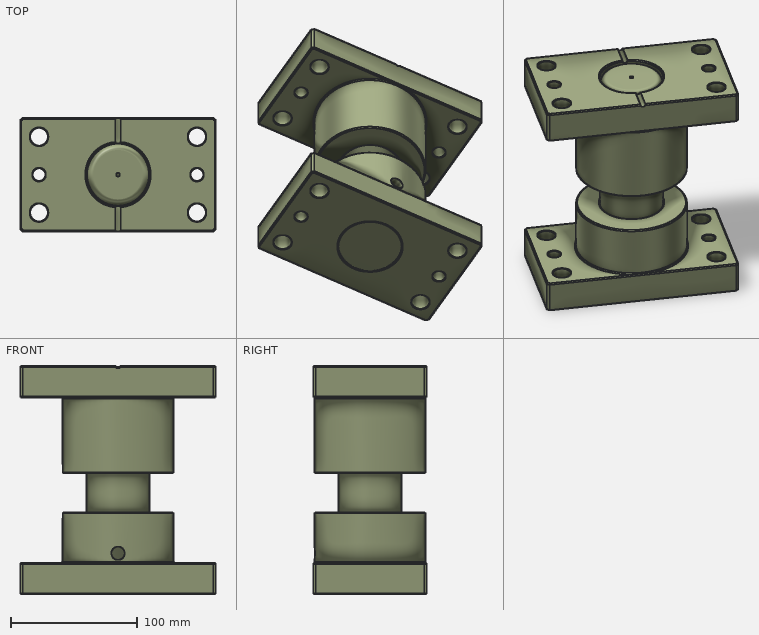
import cadquery as cq
import math

plate_length = 155.0
plate_width = 90.0
plate_thickness = 25.0
plate_corner_chamfer = 2.0
plate_edge_chamfer = 1.0
boss_diameter = 88.0
boss_edge_chamfer = 1.0
boss_root_fillet = 1.0
lower_boss_height = 40.0
upper_boss_height = 60.0

hole_offset_x = 62.5
screw_hole_offset_y = 30.0
screw_hole_diameter = 14.0
dowel_hole_diameter = 10.0
hole_rim_chamfer = 0.5

overall_height = 180.76

pin_diameter = 50.0
pin_length = 180.0
pin_end_radius = 5.0
pin_lead_diameter = 49.0
pin_lead_length = 8.0
pin_centre_diameter = 3.0
pin_centre_angle = 60.0
bore_rim_chamfer = 1.0

groove_radius = 2.0
cross_hole_diameter = 10.5
cross_hole_height = 7.5


def centred_cylinder(diameter, length):
    return cq.Workplane("XY").circle(diameter / 2).extrude(length)


def through_hole(diameter, rim_chamfer, depth):
    """Cutter from Z = 0 up to depth, flared at both ends."""
    radius = diameter / 2
    rim_radius = radius + rim_chamfer
    profile = (
        cq.Workplane("XZ")
        .lineTo(rim_radius, 0)
        .lineTo(radius, rim_chamfer)
        .lineTo(radius, depth - rim_chamfer)
        .lineTo(rim_radius, depth)
        .lineTo(0, depth)
        .close()
    )
    return profile.revolve(360, (0, 0, 0), (0, 1, 0))


def make_boss_root():
    """Concave fillet ring at the boss foot, trimmed where it would overhang the plate edge chamfers."""
    boss_radius = boss_diameter / 2
    arc_sag = boss_root_fillet * (1 - math.sqrt(0.5))
    profile = (
        cq.Workplane("XZ")
        .moveTo(boss_radius, 0)
        .lineTo(boss_radius + boss_root_fillet, 0)
        .threePointArc((boss_radius + arc_sag, arc_sag), (boss_radius, boss_root_fillet))
        .close()
    )
    ring = profile.revolve(360, (0, 0, 0), (0, 1, 0)).union(centred_cylinder(boss_diameter, boss_root_fillet))
    flat_width = plate_width - 2 * plate_edge_chamfer
    flat_face = cq.Workplane("XY").box(plate_length, flat_width, 2 * boss_root_fillet)
    return ring.intersect(flat_face).translate((0, 0, plate_thickness))


def make_block(boss_height):
    """Plate on Z = 0 with its boss pointing up and the pin bore through both."""
    plate = (
        cq.Workplane("XY")
        .box(plate_length, plate_width, plate_thickness, centered=(True, True, False))
        .edges("|Z")
        .chamfer(plate_corner_chamfer)
        .faces("<Z or >Z")
        .edges()
        .chamfer(plate_edge_chamfer)
    )
    dowel_hole = through_hole(dowel_hole_diameter, hole_rim_chamfer, plate_thickness)
    screw_hole = through_hole(screw_hole_diameter, hole_rim_chamfer, plate_thickness)
    for x in (-hole_offset_x, hole_offset_x):
        plate = plate.cut(dowel_hole.translate((x, 0, 0)))
        for y in (-screw_hole_offset_y, screw_hole_offset_y):
            plate = plate.cut(screw_hole.translate((x, y, 0)))

    boss = (
        centred_cylinder(boss_diameter, boss_height)
        .faces(">Z")
        .edges()
        .chamfer(boss_edge_chamfer)
        .translate((0, 0, plate_thickness))
    )
    bore = through_hole(pin_diameter, bore_rim_chamfer, plate_thickness + boss_height)
    return plate.union(boss).union(make_boss_root()).cut(bore)


def make_lower_block():
    """Block with its boss up and a radial hole from the -Y side to the pin."""
    cross_hole = (
        cq.Workplane("XZ")
        .center(0, plate_thickness + cross_hole_height)
        .circle(cross_hole_diameter / 2)
        .extrude(plate_width / 2)
    )
    return make_block(lower_boss_height).cut(cross_hole)


def make_upper_block():
    """Inverted block with a round-bottomed groove along Y across its top face."""
    block = (
        make_block(upper_boss_height)
        .rotate((0, 0, 0), (1, 0, 0), 180)
        .translate((0, 0, overall_height))
    )
    groove = (
        cq.Workplane("XZ")
        .moveTo(-groove_radius, 0)
        .threePointArc((0, -groove_radius), (groove_radius, 0))
        .lineTo(groove_radius, groove_radius)
        .lineTo(-groove_radius, groove_radius)
        .close()
        .extrude(plate_width / 2, both=True)
        .translate((0, 0, overall_height))
    )
    return block.cut(groove)


def make_pin():
    """Guide pin with a slimmer, rounded lead-in end and a conical centre mark."""
    centre_radius = pin_centre_diameter / 2
    centre_depth = centre_radius / math.tan(math.radians(pin_centre_angle / 2))
    centre = cq.Workplane("XY").add(cq.Solid.makeCone(0, centre_radius, centre_depth))
    body_length = pin_length - pin_lead_length
    body = centred_cylinder(pin_diameter, body_length)
    lead = (
        centred_cylinder(pin_lead_diameter, pin_lead_length)
        .faces(">Z")
        .edges()
        .fillet(pin_end_radius)
        .translate((0, 0, body_length))
    )
    return body.union(lead).cut(centre.translate((0, 0, pin_length - centre_depth)))


lower_block = make_lower_block()
upper_block = make_upper_block()
guide_pin = make_pin()

result = cq.Compound.makeCompound([lower_block.val(), upper_block.val(), guide_pin.val()])